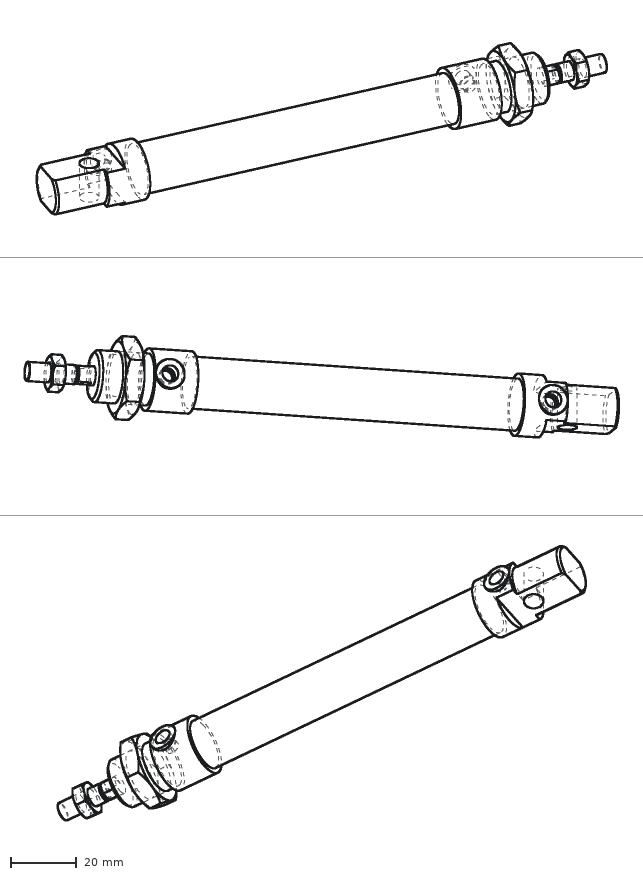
import cadquery as cq
import math

TIP_Y = 185.0

TUBE_D = 16.0
CAP_D = 19.0
NOSE_Y = 164.1
NOSE_CHAMFER = 1.0
FRONT_CAP_Y = 133.5
CAP_LENGTH = 13.5
REAR_CAP_Y = 16.8
TAIL_CHAMFER = 0.7
TAIL_THICKNESS = 12.0
FLATS_END_Y = 23.0
PIVOT_HOLE_D = 6.0
PIVOT_HOLE_Y = 14.2

PORT_BOSS_D = 9.0
PORT_FACE_X = -9.6
PORT_BOSS_DEPTH = 5.5
PORT_INSET = 4.6
PORT_YS = (REAR_CAP_Y + PORT_INSET, FRONT_CAP_Y + CAP_LENGTH - PORT_INSET)
PORT_D = 5.0
PORT_DEPTH = 3.7
PORT_DRILL_D = 4.3
PORT_DRILL_DEPTH = 5.5

ROD_D = 6.0
ROD_TIP_CHAMFER = 0.2
GROOVE_D = 5.0
GROOVE_Y = 169.3
GROOVE_WIDTH = 0.7
WRENCH_FLATS = 5.0
WRENCH_FLATS_Y = 165.2

BODY_NUT_Y = 151.0
BODY_NUT_THICKNESS = 6.0
BODY_NUT_FLATS = 22.0
BODY_NUT_ANGLE = 12.7
ROD_NUT_Y = 174.0
ROD_NUT_THICKNESS = 4.0
ROD_NUT_FLATS = 10.0
ROD_NUT_ANGLE = 9.5
NUT_CHAMFER_ANGLE = 30.0


def cylinder_y(diameter, start_y, end_y):
    """Cylinder along the main axis between two Y positions."""
    return (
        cq.Workplane("XZ", origin=(0, start_y, 0))
        .circle(diameter / 2)
        .extrude(start_y - end_y)
    )


def cylinder_x(diameter, y, depth):
    """Cylinder going inward (+X) from the port face."""
    return (
        cq.Workplane("YZ", origin=(PORT_FACE_X, y, 0))
        .circle(diameter / 2)
        .extrude(depth)
    )


def flats_cutter(diameter, thickness, start_y, end_y):
    """Two slabs whose removal leaves a given Z thickness between two Y positions."""
    length = end_y - start_y
    center = cq.Workplane("XY", origin=(0, (start_y + end_y) / 2, 0))
    return center.box(diameter, length, diameter).cut(center.box(diameter, length, thickness))


def make_port_bore(y):
    """Stepped port bore: thread and core drill."""
    return cylinder_x(PORT_D, y, PORT_DEPTH).union(cylinder_x(PORT_DRILL_D, y, PORT_DRILL_DEPTH))


def make_housing():
    """Tube, nose, end caps and tail in one piece, with two air ports."""
    body = cylinder_y(TUBE_D, 0, NOSE_Y)
    body = body.faces(">Y").chamfer(NOSE_CHAMFER)
    body = body.faces("<Y").chamfer(TAIL_CHAMFER)
    for cap_y in (REAR_CAP_Y, FRONT_CAP_Y):
        body = body.union(cylinder_y(CAP_D, cap_y, cap_y + CAP_LENGTH))

    body = body.cut(flats_cutter(CAP_D, TAIL_THICKNESS, 0, FLATS_END_Y))
    pivot_hole = (
        cq.Workplane("XY")
        .center(0, PIVOT_HOLE_Y)
        .circle(PIVOT_HOLE_D / 2)
        .extrude(TAIL_THICKNESS, both=True)
    )
    body = body.cut(pivot_hole)

    for port_y in PORT_YS:
        body = body.union(cylinder_x(PORT_BOSS_D, port_y, PORT_BOSS_DEPTH))
        body = body.cut(make_port_bore(port_y))
    return body


def make_rod():
    """Rod standing on the nose face, with a groove and two wrench flats."""
    rod = cylinder_y(ROD_D, NOSE_Y, TIP_Y)
    rod = rod.faces(">Y").chamfer(ROD_TIP_CHAMFER)
    groove_end = GROOVE_Y + GROOVE_WIDTH
    groove = cylinder_y(ROD_D, GROOVE_Y, groove_end).cut(cylinder_y(GROOVE_D, GROOVE_Y, groove_end))
    rod = rod.cut(groove)
    return rod.cut(flats_cutter(ROD_D, WRENCH_FLATS, WRENCH_FLATS_Y, GROOVE_Y))


def make_nut(across_flats, thickness, bore_d, start_y, angle):
    """Hexagon nut with chamfered corners on both faces, turned about Y."""
    corner_d = across_flats / math.cos(math.pi / 6)
    corner_drop = (corner_d - across_flats) / 2
    chamfer_height = corner_drop * math.tan(math.radians(NUT_CHAMFER_ANGLE))
    end_y = start_y + thickness
    hexagon = (
        cq.Workplane("XZ", origin=(0, start_y, 0))
        .polygon(6, corner_d)
        .extrude(-thickness)
        .rotate((0, 0, 0), (0, 1, 0), angle)
    )
    envelope = cylinder_y(corner_d, start_y, end_y)
    envelope = envelope.faces("<Y or >Y").chamfer(chamfer_height, corner_drop)
    return hexagon.intersect(envelope).cut(cylinder_y(bore_d, start_y, end_y))


housing = make_housing()
rod = make_rod()
body_nut = make_nut(BODY_NUT_FLATS, BODY_NUT_THICKNESS, TUBE_D, BODY_NUT_Y, BODY_NUT_ANGLE)
rod_nut = make_nut(ROD_NUT_FLATS, ROD_NUT_THICKNESS, ROD_D, ROD_NUT_Y, ROD_NUT_ANGLE)

result = cq.Compound.makeCompound([housing.val(), rod.val(), body_nut.val(), rod_nut.val()])